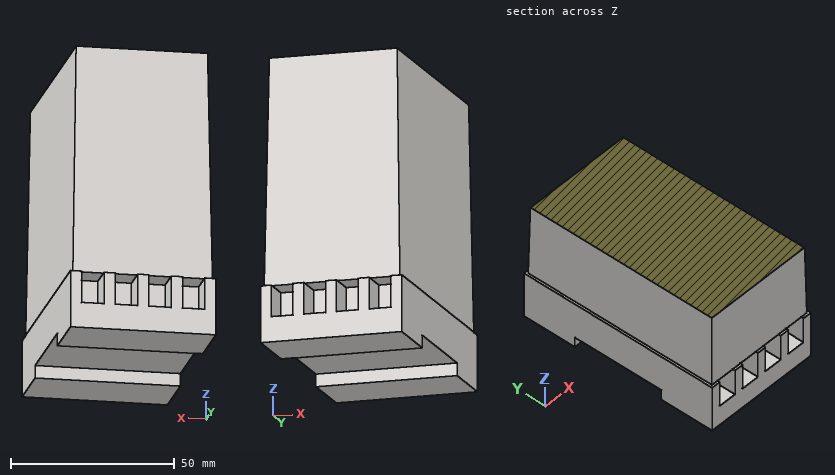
import cadquery as cq

base_width = 45.5
base_length = 77.5
base_height = 18.0

total_height = 90.6
housing_height = total_height - base_height
ledge_width = 0.9
draft_angle = 1.0
housing_foot_width = base_width - 2 * ledge_width
housing_foot_length = base_length - 2 * ledge_width

channel_width = 35.5
channel_height = 4.0

pockets_per_row = 4
pocket_width = 7.0
pocket_height = 10.0
pocket_depth = 10.0
pocket_pitch = 10.5
pocket_floor_z = base_height - pocket_height


def make_base():
    """Rectangular block with the rail channel cut through its underside."""
    block = cq.Workplane("XY").box(base_width, base_length, base_height, centered=(True, True, False))
    channel = cq.Workplane("XY").box(base_width, channel_width, channel_height, centered=(True, True, False))
    return block.cut(channel)


def make_housing():
    """Housing that narrows evenly from its foot to its flat top."""
    return (
        cq.Workplane("XY", origin=(0, 0, base_height))
        .rect(housing_foot_width, housing_foot_length)
        .extrude(housing_height, taper=draft_angle)
    )


def make_pockets():
    """Both rows of terminal pockets, each sunk inward from an end face."""
    pocket_y = (base_length - pocket_depth) / 2
    first_x = -pocket_pitch * (pockets_per_row - 1) / 2
    centers = []
    for side in (-1, 1):
        for index in range(pockets_per_row):
            centers.append((first_x + index * pocket_pitch, side * pocket_y))
    return (
        cq.Workplane("XY", origin=(0, 0, pocket_floor_z))
        .pushPoints(centers)
        .rect(pocket_width, pocket_depth)
        .extrude(pocket_height)
    )


result = make_base().cut(make_pockets()).union(make_housing())